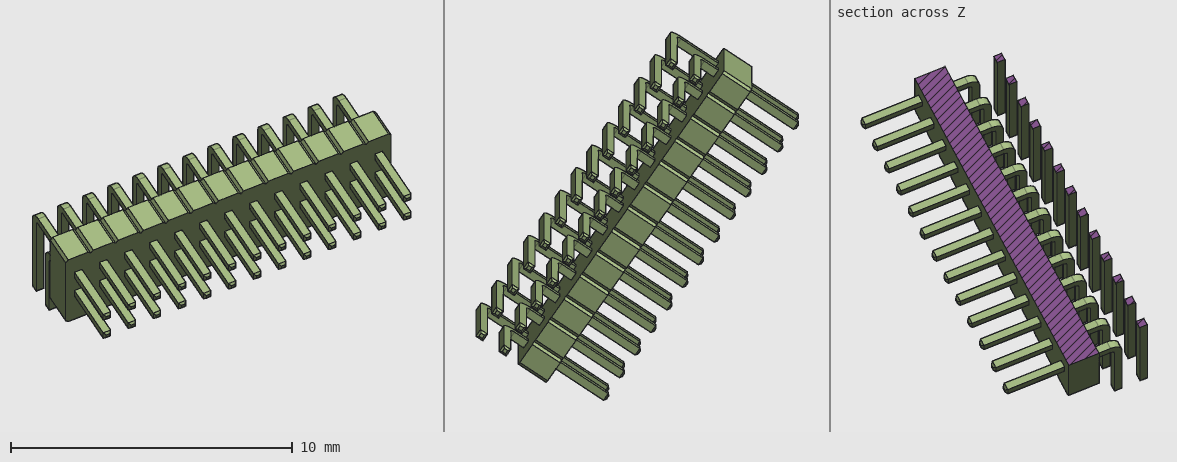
import cadquery as cq
import math


position_count = 13
row_length = 13.0
pitch = row_length / position_count
housing_depth = 1.2
housing_height = 3.38
corner_cut = 0.1

pin_size = 0.3
tip_chamfer = 0.08
bend_outer_radius = 0.45
bend_inner_radius = bend_outer_radius - pin_size
mating_length = 2.3
outer_leg_reach = 2.05
total_height = 5.0
upper_pin_drop = 0.8

housing_top = housing_height / 2
tip_x = housing_depth / 2 + mating_length
leg_bottom = housing_top - total_height
upper_pin_top = housing_top - upper_pin_drop
outer_leg_x = -housing_depth / 2 - outer_leg_reach


def housing_cell(y_center):
    """One cell of the housing, its four edges along X chamfered."""
    cell = cq.Workplane("XY").box(housing_depth, pitch, housing_height)
    return cell.edges("|X").chamfer(corner_cut).translate((0, y_center, 0))


def bent_pin(leg_x, pin_top, y_center):
    """Square pin bent down at leg_x, with tapered tips at both ends."""
    diagonal = math.sqrt(0.5)
    bend_x = leg_x + bend_outer_radius
    bend_z = pin_top - bend_outer_radius
    outer_mid = (bend_x - bend_outer_radius * diagonal, bend_z + bend_outer_radius * diagonal)
    inner_mid = (bend_x - bend_inner_radius * diagonal, bend_z + bend_inner_radius * diagonal)
    pin = (
        cq.Workplane("XZ")
        .moveTo(leg_x, leg_bottom)
        .lineTo(leg_x, bend_z)
        .threePointArc(outer_mid, (bend_x, pin_top))
        .lineTo(tip_x, pin_top)
        .lineTo(tip_x, pin_top - pin_size)
        .lineTo(bend_x, pin_top - pin_size)
        .threePointArc(inner_mid, (leg_x + pin_size, bend_z))
        .lineTo(leg_x + pin_size, leg_bottom)
        .close()
        .extrude(pin_size / 2, both=True)
    )
    pin = pin.faces(">X").chamfer(tip_chamfer)
    pin = pin.faces("<Z").chamfer(tip_chamfer)
    return pin.translate((0, y_center, 0))


result = cq.Workplane("XY")
for position in range(position_count):
    y_center = (position - (position_count - 1) / 2) * pitch
    result = result.union(housing_cell(y_center))
    for row in range(2):
        row_offset = row * pitch
        result = result.union(bent_pin(outer_leg_x + row_offset, upper_pin_top - row_offset, y_center))
result = result.clean()